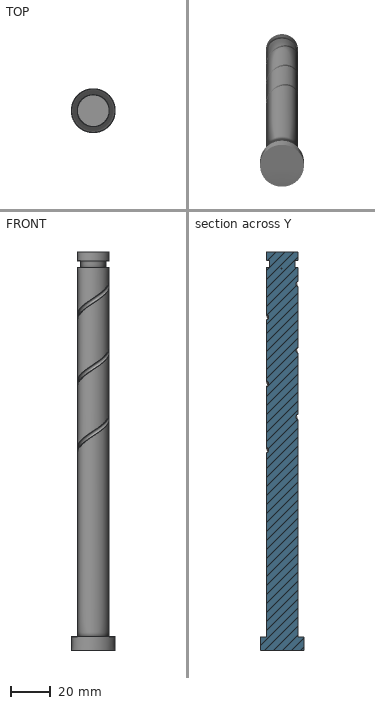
import cadquery as cq

overall_length = 200.0
head_diameter = 22.0
head_height = 7.0
shaft_diameter = 16.0

tip_length = 4.5
ring_groove_width = 3.3
ring_groove_diameter = 13.0

turns = 3
helix_length = 100.0
helix_pitch = helix_length / turns
groove_radius = 1.0
helix_start_angle = 90.0

head_radius = head_diameter / 2
shaft_radius = shaft_diameter / 2
ring_groove_radius = ring_groove_diameter / 2
tip_z = overall_length - tip_length
shoulder_z = tip_z - ring_groove_width
helix_start_z = shoulder_z - helix_length


def pin_body():
    """Headed pin with a ring groove below its tip, revolved about Z."""
    half_section = (
        cq.Workplane("XZ")
        .lineTo(-head_radius, 0)
        .lineTo(-head_radius, head_height)
        .lineTo(-shaft_radius, head_height)
        .lineTo(-shaft_radius, shoulder_z)
        .lineTo(-ring_groove_radius, shoulder_z)
        .lineTo(-ring_groove_radius, tip_z)
        .lineTo(-shaft_radius, tip_z)
        .lineTo(-shaft_radius, overall_length)
        .lineTo(0, overall_length)
        .close()
    )
    return half_section.revolve(360, (0, 0), (0, 1))


def helical_groove():
    """Right-handed round cutter that starts and ends on the +Y side."""
    path = cq.Wire.makeHelix(helix_pitch, helix_length, shaft_radius)
    cutter = (
        cq.Workplane(cq.Plane(path.startPoint(), (1, 0, 0), path.tangentAt(0)))
        .circle(groove_radius)
        .sweep(cq.Workplane(obj=path), isFrenet=True)
    )
    return cutter.rotate((0, 0, 0), (0, 0, 1), helix_start_angle).translate((0, 0, helix_start_z))


result = pin_body().cut(helical_groove())